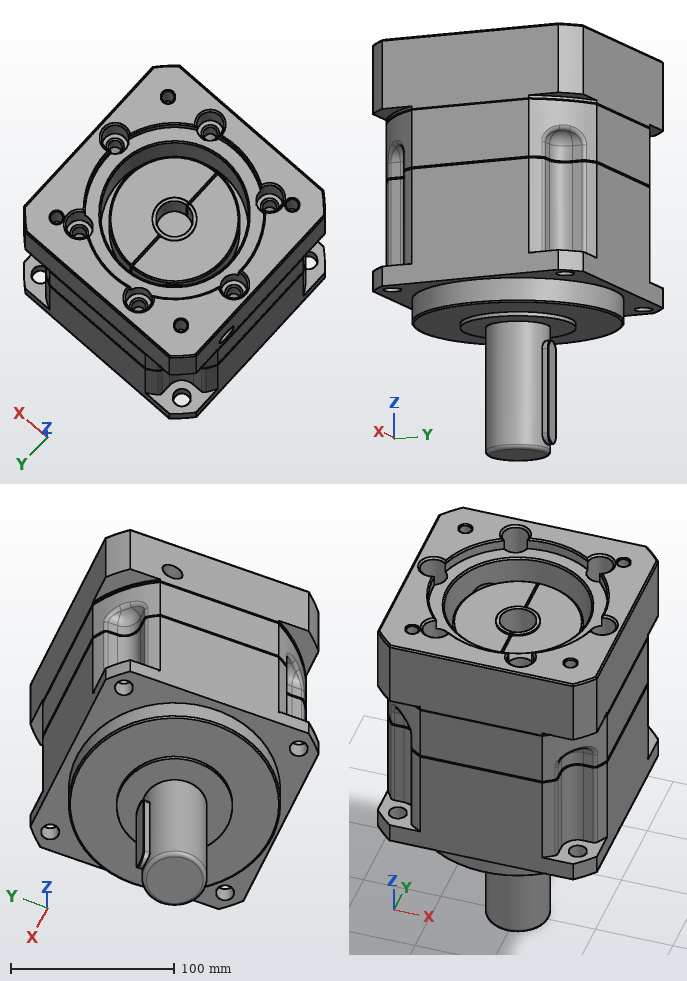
import cadquery as cq
import math


frame_side = 142.0
half_side = frame_side / 2
corner_radius = 92.5
overall_length = 252.0
shaft_tip_z = -97.3
adapter_top_z = shaft_tip_z + overall_length

flange_thickness = 12.3
ring_bottom_z = 72.3
adapter_bottom_z = 108.9
joint_chamfer = 0.5

waist_radius = 81.1
waist_top_z = 111.1

pocket_wall = 47.5
pocket_top_z = 90.7
pocket_corner_radius = 10.5
pocket_top_radius = 8.3
pocket_lip_radius = 3.0
mount_hole_offset = 58.2
mount_hole_diameter = 11.0

pilot_radius = 65.0
pilot_length = 15.0
pilot_chamfer = 1.0
seal_radius = 35.5
seal_end_z = -17.6

shaft_radius = 20.0
shaft_tip_round = 2.5
key_width = 12.0
key_length = 65.0
key_top_z = -27.5
key_seat_y = 15.0
key_outer_y = 23.2
key_chamfer = 0.5

collar_radius = 40.0
collar_top_z = adapter_top_z - 20.7
collar_chamfer = 1.0
sleeve_radius = 13.5
sleeve_top_z = collar_top_z + 1.0
hub_bore_radius = 11.3
slit_width = 1.3
slit_depth = 20.2
clamp_y = 31.2
clamp_z = 124.0
clamp_head_diameter = 10.5
clamp_head_seat_x = -22.7
clamp_hole_diameter = 7.5
clamp_hole_end_x = -12.5

adapter_edge_chamfer = 1.0
rim_chamfer = 1.0
recess_radius = 55.0
recess_floor_z = adapter_top_z - 7.5
bore_radius = 45.4
access_hole_diameter = 13.4
screw_count = 6
screw_circle_radius = 59.0
screw_start_angle = -10
counterbore_diameter = 16.6
counterbore_chamfer = 1.3
counterbore_floor_z = adapter_top_z - 22.7
screw_hole_diameter = 8.5
screw_hole_depth = 17.6
screw_hole_chamfer = 1.3
motor_hole_offset = 51.2
motor_hole_diameter = 7.5
motor_hole_depth = 25.2
motor_hole_chamfer = 0.8
drill_point_angle = 118


def cylinder(radius, bottom_z, top_z):
    """Round bar on the Z axis."""
    return cq.Workplane("XY", origin=(0, 0, bottom_z)).circle(radius).extrude(top_z - bottom_z)


def square_frame(bottom_z, top_z):
    """Square block whose four corners are turned to a common radius."""
    block = cq.Workplane("XY", origin=(0, 0, bottom_z)).rect(frame_side, frame_side).extrude(top_z - bottom_z)
    return block.intersect(cylinder(corner_radius, bottom_z, top_z))


def bore_cutter(radius, bottom_z, rim_z, chamfer, point_depth=0.0):
    """Bore on the Z axis with a chamfered rim and, if asked for, a conical drill point."""
    outline = (
        cq.Workplane("XZ")
        .moveTo(0, rim_z)
        .lineTo(radius + chamfer, rim_z)
        .lineTo(radius, rim_z - chamfer)
        .lineTo(radius, bottom_z)
    )
    return outline.lineTo(0, bottom_z - point_depth).close().revolve(360, (0, 0, 0), (0, 1, 0))


def drilled_hole_cutter(diameter, depth, mouth_z, chamfer):
    """Blind drilled hole on the Z axis with a chamfered mouth."""
    radius = diameter / 2
    point_depth = radius / math.tan(math.radians(drill_point_angle / 2))
    return bore_cutter(radius, mouth_z - depth, mouth_z, chamfer, point_depth)


def corner_points(offset):
    """The four points at the same distance from both axis planes."""
    return [(sx * offset, sy * offset) for sx in (-1, 1) for sy in (-1, 1)]


def waist_cutter():
    """Everything outside the waist radius, from the flange to the waist top."""
    outline = cq.Workplane("XY", origin=(0, 0, flange_thickness)).rect(2 * frame_side, 2 * frame_side)
    return outline.circle(waist_radius).extrude(waist_top_z - flange_thickness)


def corner_pocket_cutter():
    """Pocket at the +X +Y corner with rounded inner edges; it runs out of the frame."""
    return (
        cq.Workplane("XY", origin=(pocket_wall, pocket_wall, flange_thickness))
        .rect(half_side, half_side, centered=False)
        .extrude(pocket_top_z - flange_thickness)
        .edges("<X and <Y")
        .fillet(pocket_corner_radius)
        .faces(">Z")
        .edges("not (>X or >Y)")
        .fillet(pocket_top_radius)
    )


def is_pocket_lip(edge):
    """True for the edges where a pocket breaks through the waist surface."""
    middle = edge.positionAt(0.5)
    tolerance = 0.003
    on_waist = abs(math.hypot(middle.x, middle.y) - waist_radius) < tolerance
    in_corner = min(abs(middle.x), abs(middle.y)) > pocket_wall - tolerance
    above_flange = flange_thickness + tolerance < middle.z < pocket_top_z
    return on_waist and in_corner and above_flange


def make_lower_casing():
    """Housing and gear ring in one piece, before they are parted at their joint."""
    casing = square_frame(0, adapter_bottom_z).cut(waist_cutter())
    for i in range(4):
        casing = casing.cut(corner_pocket_cutter().rotate((0, 0, 0), (0, 0, 1), 90 * i))
    lips = [edge for edge in casing.edges().vals() if is_pocket_lip(edge)]
    return casing.newObject(lips).fillet(pocket_lip_radius)


def make_housing(casing):
    """Output housing: mounting flange, pilot, seal ring and shaft hole."""
    housing = casing.intersect(square_frame(0, ring_bottom_z)).faces(">Z").edges().chamfer(joint_chamfer)
    pilot = cylinder(pilot_radius, -pilot_length, 0).faces("<Z").edges().chamfer(pilot_chamfer)
    seal = cylinder(seal_radius, seal_end_z, 0)
    mount_holes = (
        cq.Workplane("XY")
        .pushPoints(corner_points(mount_hole_offset))
        .circle(mount_hole_diameter / 2)
        .extrude(flange_thickness)
    )
    shaft_hole = cylinder(shaft_radius, seal_end_z, ring_bottom_z)
    return housing.union(pilot).union(seal).cut(mount_holes).cut(shaft_hole)


def make_gear_ring(casing):
    """Gear ring between the housing and the motor adapter."""
    ring = casing.intersect(square_frame(ring_bottom_z, adapter_bottom_z))
    ring = ring.faces("<Z").edges().chamfer(joint_chamfer)
    return ring.cut(cylinder(shaft_radius, ring_bottom_z, adapter_bottom_z))


def make_adapter():
    """Motor adapter: stepped bore, flange screw holes and access hole to the clamp screw."""
    adapter = square_frame(adapter_bottom_z, adapter_top_z).cut(waist_cutter())
    adapter = adapter.faces(">Z").edges().chamfer(adapter_edge_chamfer)
    adapter = adapter.faces("<Z").edges().chamfer(joint_chamfer)

    adapter = adapter.cut(bore_cutter(recess_radius, recess_floor_z, adapter_top_z, rim_chamfer))
    adapter = adapter.cut(bore_cutter(bore_radius, adapter_bottom_z, recess_floor_z, rim_chamfer))

    counterbore = bore_cutter(counterbore_diameter / 2, counterbore_floor_z, adapter_top_z, counterbore_chamfer)
    screw_hole = drilled_hole_cutter(
        screw_hole_diameter, screw_hole_depth, counterbore_floor_z, screw_hole_chamfer
    )
    screw_cutter = counterbore.union(screw_hole).translate((screw_circle_radius, 0, 0))
    for i in range(screw_count):
        angle = screw_start_angle + i * 360 / screw_count
        adapter = adapter.cut(screw_cutter.rotate((0, 0, 0), (0, 0, 1), angle))

    motor_hole = drilled_hole_cutter(
        motor_hole_diameter, motor_hole_depth, adapter_top_z, motor_hole_chamfer
    )
    for x, y in corner_points(motor_hole_offset):
        adapter = adapter.cut(motor_hole.translate((x, y, 0)))

    access_hole = (
        cq.Workplane("YZ", origin=(-half_side, clamp_y, clamp_z))
        .circle(access_hole_diameter / 2)
        .extrude(half_side)
    )
    return adapter.cut(access_hole)


def make_key():
    """Round-ended parallel key on the +Y side of the output shaft."""
    return (
        cq.Workplane("XZ", origin=(0, key_seat_y, key_top_z - key_length / 2))
        .slot2D(key_length, key_width, 90)
        .extrude(key_seat_y - key_outer_y)
        .faces(">Y")
        .edges()
        .chamfer(key_chamfer)
    )


def clamp_bore(diameter, end_x):
    """Horizontal round cutter for the clamp screw, from outside the collar to end_x."""
    plane = cq.Workplane("YZ", origin=(-collar_radius, clamp_y, clamp_z))
    return plane.circle(diameter / 2).extrude(collar_radius + end_x)


def make_hub():
    """Slit clamping collar around a hollow sleeve that stands slightly proud of it."""
    collar = cylinder(collar_radius, adapter_bottom_z, collar_top_z)
    collar = collar.faces(">Z").edges().chamfer(collar_chamfer)
    slit = (
        cq.Workplane("XY", origin=(0, 0, collar_top_z - slit_depth))
        .rect(slit_width, 2 * collar_radius)
        .extrude(slit_depth)
    )
    collar = collar.cut(slit)
    collar = collar.cut(clamp_bore(clamp_head_diameter, clamp_head_seat_x))
    collar = collar.cut(clamp_bore(clamp_hole_diameter, clamp_hole_end_x))

    sleeve = cylinder(sleeve_radius, adapter_bottom_z, sleeve_top_z)
    sleeve_slit = (
        cq.Workplane("XY", origin=(0, -sleeve_radius / 2, collar_top_z - slit_depth))
        .rect(slit_width, sleeve_radius)
        .extrude(slit_depth + sleeve_top_z - collar_top_z)
    )
    hub_bore = cylinder(hub_bore_radius, adapter_bottom_z, sleeve_top_z)
    return collar.union(sleeve.cut(sleeve_slit)).cut(hub_bore)


def make_shaft(key):
    """Output shaft with its key seat, running through the casings up to the clamping hub."""
    shaft = cylinder(shaft_radius, shaft_tip_z, adapter_bottom_z)
    shaft = shaft.faces("<Z").edges().fillet(shaft_tip_round)
    return shaft.cut(key).union(make_hub())


lower_casing = make_lower_casing()
housing = make_housing(lower_casing)
gear_ring = make_gear_ring(lower_casing)
adapter = make_adapter()
key = make_key()
shaft = make_shaft(key)

result = cq.Compound.makeCompound(
    [housing.val(), gear_ring.val(), adapter.val(), shaft.val(), key.val()]
)